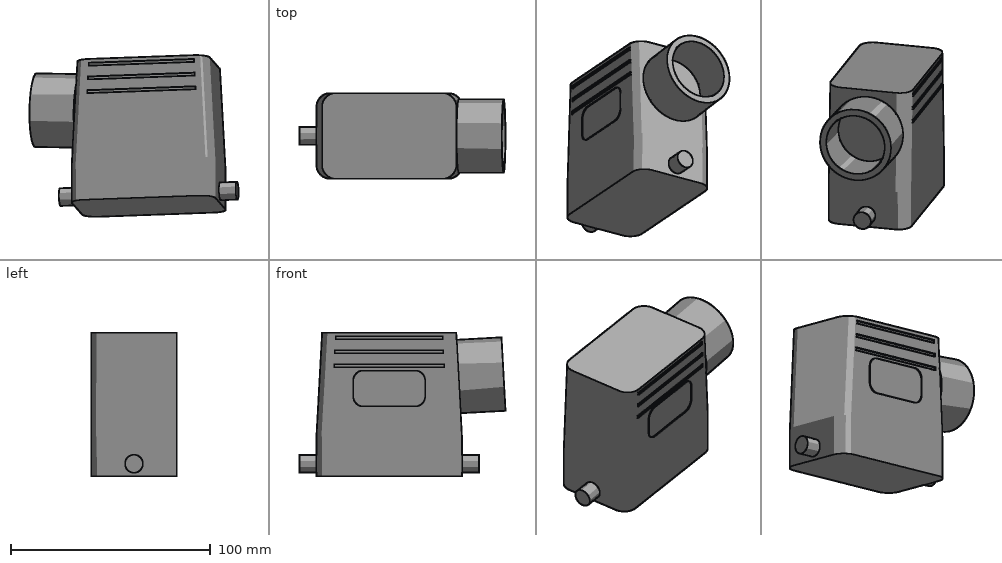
import cadquery as cq
import math

body_length = 73.0
body_width = 43.0
body_height = 72.0
skirt_height = 20.0
top_length = 67.3
corner_radius = 7.0

pin_diameter = 9.0
pin_span = 90.0
pin_height = 6.3

entry_diameter = 37.0
entry_bore_diameter = 30.41
entry_reach = 22.5
entry_root_height = 50.0

groove_count = 3
groove_pitch = 7.0
groove_width = 1.5
groove_depth = 1.0
lowest_groove_height = 55.3

label_length = 36.0
label_height = 18.0
label_radius = 5.0
label_center_height = 44.0
label_depth = 0.5

front_y = -body_width / 2
end_inset = (body_length - top_length) / 2
taper_angle = math.atan2(end_inset, body_height - skirt_height)


def make_body():
    """Extruded end-tapered profile with its four upright corners rounded."""
    profile = [
        (-body_length / 2, 0),
        (body_length / 2, 0),
        (body_length / 2, skirt_height),
        (top_length / 2, body_height),
        (-top_length / 2, body_height),
        (-body_length / 2, skirt_height),
    ]
    block = cq.Workplane("XZ").polyline(profile).close().extrude(body_width / 2, both=True)
    upright_edges = block.faces("<Y or >Y").edges("not #Z")
    return upright_edges.fillet(corner_radius)


def make_pins():
    """One bar through the body whose ends form both locking pins."""
    return (
        cq.Workplane("YZ")
        .workplane(offset=-pin_span / 2)
        .center(0, pin_height)
        .circle(pin_diameter / 2)
        .extrude(pin_span)
    )


def wall_half_length(height):
    """Distance from the center plane to the tapered end wall at a height."""
    return body_length / 2 - (height - skirt_height) * math.tan(taper_angle)


def entry_cylinder(diameter):
    """Cylinder along the entry axis, from the end wall out to the entry mouth."""
    root = (wall_half_length(entry_root_height), 0, entry_root_height)
    axis = (math.cos(taper_angle), 0, math.sin(taper_angle))
    plane = cq.Plane(origin=root, xDir=(0, 1, 0), normal=axis)
    return cq.Workplane(plane).circle(diameter / 2).extrude(entry_reach)


def make_grooves():
    """Cutting bars for the grooves on both broad faces."""
    grooves = cq.Workplane("XY")
    for index in range(groove_count):
        height = lowest_groove_height + index * groove_pitch
        length = 2 * (wall_half_length(height) - corner_radius)
        for side in (-1, 1):
            center_y = side * (body_width - groove_depth) / 2
            groove = cq.Workplane("XY").box(length, groove_depth, groove_width)
            grooves = grooves.add(groove.translate((0, center_y, height)))
    return grooves.combine()


def make_label_recess():
    """Rounded rectangular cutter set into the front face."""
    return (
        cq.Workplane("XZ", origin=(0, front_y, label_center_height))
        .rect(label_length, label_height)
        .extrude(-label_depth)
        .edges("|Y")
        .fillet(label_radius)
    )


result = make_body().union(make_pins())
result = result.union(entry_cylinder(entry_diameter))
result = result.cut(entry_cylinder(entry_bore_diameter))
result = result.cut(make_grooves()).cut(make_label_recess())